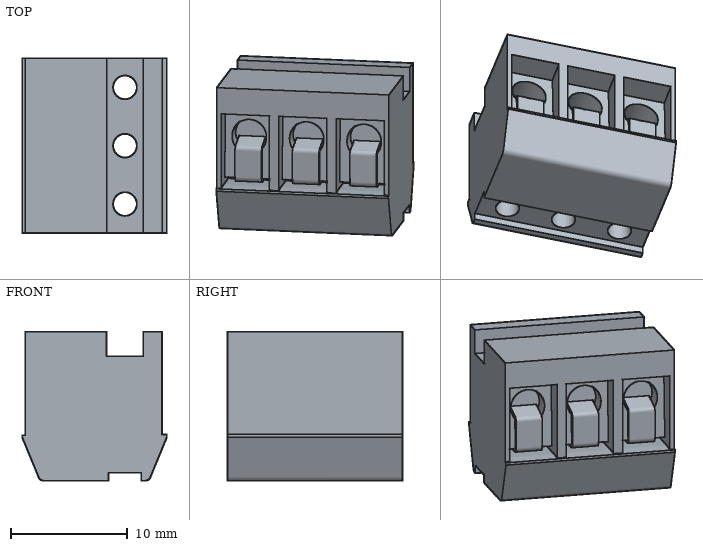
import cadquery as cq
import math


LENGTH = 15.0
WIDTH = 12.4
HEIGHT = 12.8
WIRE_FACE_X = 0.25
BACK_FACE_X = 12.0
WIRE_LEDGE_Z = 3.93
BACK_LEDGE_Z = 3.99
BEVEL_TOP_Z = 3.72
BEVEL_RUN = 1.53
BOTTOM_EDGE_RADIUS = 0.51

TOP_GROOVE_START_X = 7.25
TOP_GROOVE_WIDTH = 3.14
TOP_GROOVE_FLOOR_Z = 10.68
BOTTOM_GROOVE_START_X = 7.41
BOTTOM_GROOVE_WIDTH = 2.79
BOTTOM_GROOVE_DEPTH = 0.69

POLE_COUNT = 3
POLE_PITCH = LENGTH / POLE_COUNT
SCREW_HOLE_DIAMETER = 2.01

POCKET_WIDTH = 4.2
POCKET_TOP_Z = 10.5
POCKET_TILT = 3.0
REAR_WALL_BOTTOM_X = 1.96
REAR_WALL_BOTTOM_Z = 4.52
FLOOR_RAMP_RUN = 0.99
UNDERCUT_END_X = 3.66

WIRE_HOLE_DIAMETER = 3.0
WIRE_HOLE_Z = 8.13
WIRE_HOLE_DEPTH = 1.8

CLAMP_WIDTH = 2.31
CLAMP_FRONT_X = 1.65
CLAMP_BOTTOM_Z = 4.18
CLAMP_BOTTOM_RADIUS = 0.45
CLAMP_FACE_TOP_Z = 6.99
CLAMP_TOP_RADIUS = 0.38
CLAMP_TOP_SLOPE = 15.0


def extrude_along_y(outline, width, centre_y=0.0):
    """Extrude an XZ outline symmetrically about centre_y."""
    return outline.extrude(width / 2, both=True).translate((0, centre_y, 0))


def make_housing():
    outline = cq.Workplane("XZ").polyline([
        (BEVEL_RUN, 0),
        (WIDTH - BEVEL_RUN, 0),
        (WIDTH, BEVEL_TOP_Z),
        (WIDTH, BACK_LEDGE_Z),
        (BACK_FACE_X, BACK_LEDGE_Z),
        (BACK_FACE_X, HEIGHT),
        (WIRE_FACE_X, HEIGHT),
        (WIRE_FACE_X, WIRE_LEDGE_Z),
        (0, WIRE_LEDGE_Z),
        (0, BEVEL_TOP_Z),
    ]).close()
    housing = extrude_along_y(outline, LENGTH)
    return housing.faces("<Z").edges("|Y").fillet(BOTTOM_EDGE_RADIUS)


def make_groove(start_x, floor_z, width, height):
    return cq.Workplane("XY").box(width, LENGTH, height, centered=(False, True, False)).translate(
        (start_x, 0, floor_z)
    )


def rear_wall_x(z):
    return REAR_WALL_BOTTOM_X + (z - REAR_WALL_BOTTOM_Z) * math.tan(math.radians(POCKET_TILT))


def make_pocket(centre_y):
    """Wire opening with a short floor ramp and an undercut below the rear wall."""
    tilt = math.radians(POCKET_TILT)
    mouth_to_wall = rear_wall_x(POCKET_TOP_Z) - WIRE_FACE_X
    ceiling_run = mouth_to_wall * math.cos(tilt) ** 2
    ceiling_drop = ceiling_run * math.tan(tilt)
    outline = cq.Workplane("XZ").polyline([
        (WIRE_FACE_X, WIRE_LEDGE_Z),
        (WIRE_FACE_X + FLOOR_RAMP_RUN, BACK_LEDGE_Z),
        (UNDERCUT_END_X, BACK_LEDGE_Z),
        (UNDERCUT_END_X, REAR_WALL_BOTTOM_Z),
        (REAR_WALL_BOTTOM_X, REAR_WALL_BOTTOM_Z),
        (WIRE_FACE_X + ceiling_run, POCKET_TOP_Z - ceiling_drop),
        (WIRE_FACE_X, POCKET_TOP_Z),
    ]).close()
    return extrude_along_y(outline, POCKET_WIDTH, centre_y)


def make_wire_hole(centre_y):
    tilt = math.radians(POCKET_TILT)
    start = cq.Vector(rear_wall_x(WIRE_HOLE_Z), centre_y, WIRE_HOLE_Z)
    inward = cq.Vector(math.cos(tilt), 0, -math.sin(tilt))
    return cq.Workplane(cq.Solid.makeCylinder(WIRE_HOLE_DIAMETER / 2, WIRE_HOLE_DEPTH, start, inward))


def make_clamp(centre_y):
    """Tongue with a rounded foot and a rounded nose that rises gently inside the wire hole."""
    slope = math.radians(CLAMP_TOP_SLOPE)
    nose_centre_x = CLAMP_FRONT_X + CLAMP_TOP_RADIUS
    middle_angle = (math.pi / 2 + slope + math.pi) / 2

    def nose_point(angle):
        return (
            nose_centre_x + CLAMP_TOP_RADIUS * math.cos(angle),
            CLAMP_FACE_TOP_Z + CLAMP_TOP_RADIUS * math.sin(angle),
        )

    nose_end_x, nose_end_z = nose_point(math.pi / 2 + slope)
    clamp_top_z = nose_end_z + (UNDERCUT_END_X - nose_end_x) * math.tan(slope)
    foot_top_z = CLAMP_BOTTOM_Z + CLAMP_BOTTOM_RADIUS
    outline = (
        cq.Workplane("XZ")
        .moveTo(UNDERCUT_END_X, CLAMP_BOTTOM_Z)
        .lineTo(CLAMP_FRONT_X + CLAMP_BOTTOM_RADIUS, CLAMP_BOTTOM_Z)
        .radiusArc((CLAMP_FRONT_X, foot_top_z), CLAMP_BOTTOM_RADIUS)
        .lineTo(CLAMP_FRONT_X, CLAMP_FACE_TOP_Z)
        .threePointArc(nose_point(middle_angle), (nose_end_x, nose_end_z))
        .lineTo(UNDERCUT_END_X, clamp_top_z)
        .close()
    )
    return extrude_along_y(outline, CLAMP_WIDTH, centre_y)


def make_screw_hole(centre_y):
    centre_x = TOP_GROOVE_START_X + TOP_GROOVE_WIDTH / 2
    return cq.Workplane("XY").center(centre_x, centre_y).circle(SCREW_HOLE_DIAMETER / 2).extrude(HEIGHT)


block = make_housing()
block = block.cut(make_groove(
    TOP_GROOVE_START_X, TOP_GROOVE_FLOOR_Z, TOP_GROOVE_WIDTH, HEIGHT - TOP_GROOVE_FLOOR_Z
))
block = block.cut(make_groove(BOTTOM_GROOVE_START_X, 0, BOTTOM_GROOVE_WIDTH, BOTTOM_GROOVE_DEPTH))

for pole in range(POLE_COUNT):
    pole_y = (pole - (POLE_COUNT - 1) / 2) * POLE_PITCH
    block = block.cut(make_pocket(pole_y))
    block = block.cut(make_wire_hole(pole_y))
    block = block.union(make_clamp(pole_y))
    block = block.cut(make_screw_hole(pole_y))

result = block